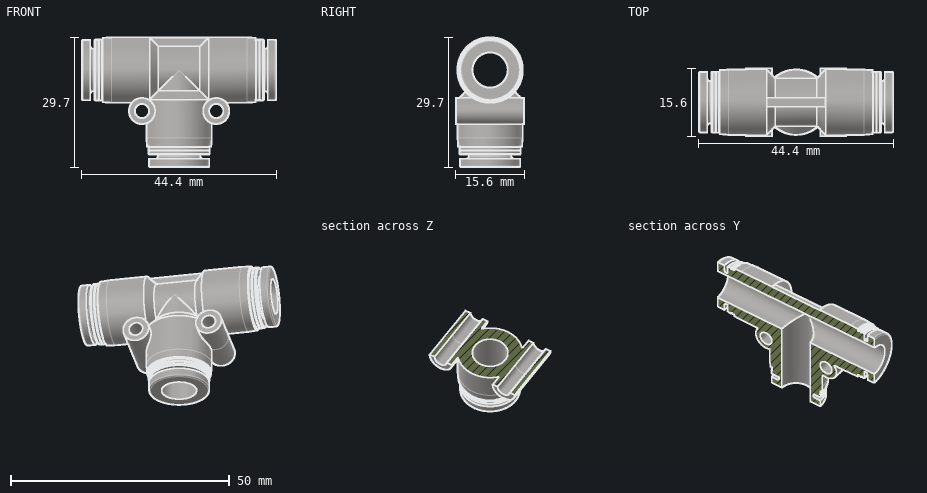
import cadquery as cq
import math

arm_length = 22.2
bore_radius = 8.0 / 2

body_radius = 15.0 / 2
waist_radius = 5.5
waist_end = 4.75
shoulder_start = waist_end + body_radius - waist_radius
taper_start = 15.5
taper_length = 2.0
body_end_radius = 7.35
body_end = taper_start + taper_length

ring_radius = 7.0
groove_radius = 6.8
inner_groove_width = 0.15
inner_land_width = 0.65
outer_groove_width = 0.18
outer_land_width = 0.6
ring_chamfer_length = 0.3
ring_chamfer_depth = 0.2

collar_radius = 6.93
collar_length = 1.95
collar_edge_fillet = 0.3
neck_radius = 4.9
neck_fillet = 0.55

arc_mid_offset = 1 - math.sqrt(0.5)

rib_width = 2.0
rib_top = math.sqrt(body_radius**2 - (rib_width / 2) ** 2)

eye_diameter = 6.0
eye_hole_diameter = 3.2
eye_length = 15.6
eye_x = 8.5
eye_z = -9.35


def make_arm():
    """Solid arm revolved about Z, running from the origin down to -arm_length."""
    inner_land_start = body_end + inner_groove_width
    inner_land_end = inner_land_start + inner_land_width
    outer_land_start = inner_land_end + outer_groove_width
    outer_land_end = outer_land_start + outer_land_width
    ring_end = outer_land_end + ring_chamfer_length
    collar_start = arm_length - collar_length
    fillet_mid = neck_fillet * arc_mid_offset
    edge_mid = collar_edge_fillet * arc_mid_offset
    profile = (
        cq.Workplane("XZ")
        .moveTo(0, 0)
        .lineTo(waist_radius, 0)
        .lineTo(waist_radius, -waist_end)
        .lineTo(body_radius, -shoulder_start)
        .lineTo(body_radius, -taper_start)
        .lineTo(body_end_radius, -body_end)
        .lineTo(groove_radius, -body_end)
        .lineTo(groove_radius, -inner_land_start)
        .lineTo(ring_radius, -inner_land_start)
        .lineTo(ring_radius, -inner_land_end)
        .lineTo(groove_radius, -inner_land_end)
        .lineTo(groove_radius, -outer_land_start)
        .lineTo(ring_radius, -outer_land_start)
        .lineTo(ring_radius, -outer_land_end)
        .lineTo(ring_radius - ring_chamfer_depth, -ring_end)
        .lineTo(neck_radius, -ring_end)
        .lineTo(neck_radius, -(collar_start - neck_fillet))
        .threePointArc(
            (neck_radius + fillet_mid, -(collar_start - fillet_mid)),
            (neck_radius + neck_fillet, -collar_start),
        )
        .lineTo(collar_radius, -collar_start)
        .lineTo(collar_radius, -(arm_length - collar_edge_fillet))
        .threePointArc(
            (collar_radius - edge_mid, -(arm_length - edge_mid)),
            (collar_radius - collar_edge_fillet, -arm_length),
        )
        .lineTo(0, -arm_length)
        .close()
    )
    return profile.revolve(360, (0, 0, 0), (0, 1, 0))


def turn_about_y(shape, angle):
    return shape.rotate((0, 0, 0), (0, 1, 0), angle)


def y_cylinder(x, diameter):
    """Cylinder along Y at an eye position, centred on the XZ plane."""
    return (
        cq.Workplane("XZ", origin=(x, 0, eye_z))
        .circle(diameter / 2)
        .extrude(eye_length / 2, both=True)
    )


arm = make_arm()
run = turn_about_y(arm, 90).union(turn_about_y(arm, -90))
result = run.union(arm)

rib = cq.Workplane("XY").box(2 * shoulder_start, rib_width, rib_top, centered=(True, True, False))
result = result.union(rib)

for x in (-eye_x, eye_x):
    result = result.union(y_cylinder(x, eye_diameter))
for x in (-eye_x, eye_x):
    result = result.cut(y_cylinder(x, eye_hole_diameter))

run_bore = cq.Workplane("YZ").circle(bore_radius).extrude(arm_length, both=True)
branch_bore = cq.Workplane("XY").circle(bore_radius).extrude(-arm_length)
result = result.cut(run_bore).cut(branch_bore)